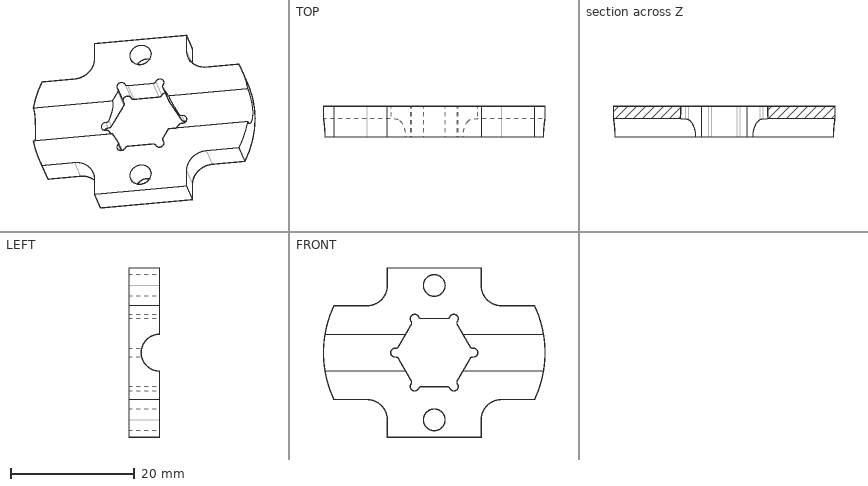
import cadquery as cq
import math

disc_radius = 18.0
thickness = 5.0
height = 27.5
arm_width = 15.25
inner_corner_radius = 3.28
selection_margin = 0.35

pin_hole_diameter = 3.5
pin_hole_offset = 10.9
groove_radius = 3.0

hex_across_flats = 11.0
relief_diameter = 1.4
relief_radius = relief_diameter / 2
relief_blend_radius = 0.5


def make_plate():
    """Cross-shaped plate whose side arms end on a common circle."""
    arm = cq.Workplane("XZ").rect(2 * disc_radius, arm_width).extrude(thickness / 2, both=True)
    upright = cq.Workplane("XZ").rect(arm_width, height).extrude(thickness / 2, both=True)
    box_reach = arm_width / 2 + selection_margin
    inner_corners = cq.selectors.BoxSelector(
        (-box_reach, -thickness, -box_reach),
        (box_reach, thickness, box_reach),
    )
    cross = arm.union(upright).edges("|Y").edges(inner_corners).fillet(inner_corner_radius)
    disc = cq.Workplane("XZ").circle(disc_radius).extrude(thickness / 2, both=True)
    return cross.intersect(disc)


def relief_points(angle):
    """Seven points of one corner relief: blend arc, round pocket, blend arc."""
    corner_distance = hex_across_flats / math.sqrt(3)
    half_corner_angle = math.radians(60)
    edge = (-math.cos(half_corner_angle), math.sin(half_corner_angle))
    normal = (math.sin(half_corner_angle), math.cos(half_corner_angle))
    pocket_to_blend = relief_radius + relief_blend_radius
    blend_run = math.sqrt(pocket_to_blend**2 - relief_blend_radius**2)
    blend_start = (blend_run * edge[0], blend_run * edge[1])
    blend_center = (
        blend_start[0] + relief_blend_radius * normal[0],
        blend_start[1] + relief_blend_radius * normal[1],
    )
    pocket_share = relief_radius / pocket_to_blend
    blend_end = (blend_center[0] * pocket_share, blend_center[1] * pocket_share)
    toward = (
        (blend_start[0] + blend_end[0]) / 2 - blend_center[0],
        (blend_start[1] + blend_end[1]) / 2 - blend_center[1],
    )
    reach = relief_blend_radius / math.hypot(*toward)
    blend_middle = (blend_center[0] + reach * toward[0], blend_center[1] + reach * toward[1])

    upper_half = [blend_start, blend_middle, blend_end]
    lower_half = [(radial, -across) for radial, across in upper_half]
    local_points = lower_half + [(relief_radius, 0)] + upper_half[::-1]
    cos_a = math.cos(angle)
    sin_a = math.sin(angle)
    return [
        (
            (corner_distance + radial) * cos_a - across * sin_a,
            (corner_distance + radial) * sin_a + across * cos_a,
        )
        for radial, across in local_points
    ]


def make_hex_cutter():
    """Hexagonal prism, two corners on the X axis, with a relief at each corner."""
    outline = cq.Workplane("XZ")
    for corner in range(6):
        points = relief_points(math.radians(60 * corner))
        if corner == 0:
            outline = outline.moveTo(*points[0])
        else:
            outline = outline.lineTo(*points[0])
        for middle, end in ((1, 2), (3, 4), (5, 6)):
            outline = outline.threePointArc(points[middle], points[end])
    return outline.close().extrude(thickness, both=True)


def make_pin_holes():
    return (
        cq.Workplane("XZ")
        .pushPoints([(0, pin_hole_offset), (0, -pin_hole_offset)])
        .circle(pin_hole_diameter / 2)
        .extrude(thickness, both=True)
    )


def make_groove():
    return (
        cq.Workplane("YZ")
        .center(-thickness / 2, 0)
        .circle(groove_radius)
        .extrude(2 * disc_radius, both=True)
    )


result = make_plate().cut(make_hex_cutter()).cut(make_pin_holes()).cut(make_groove())